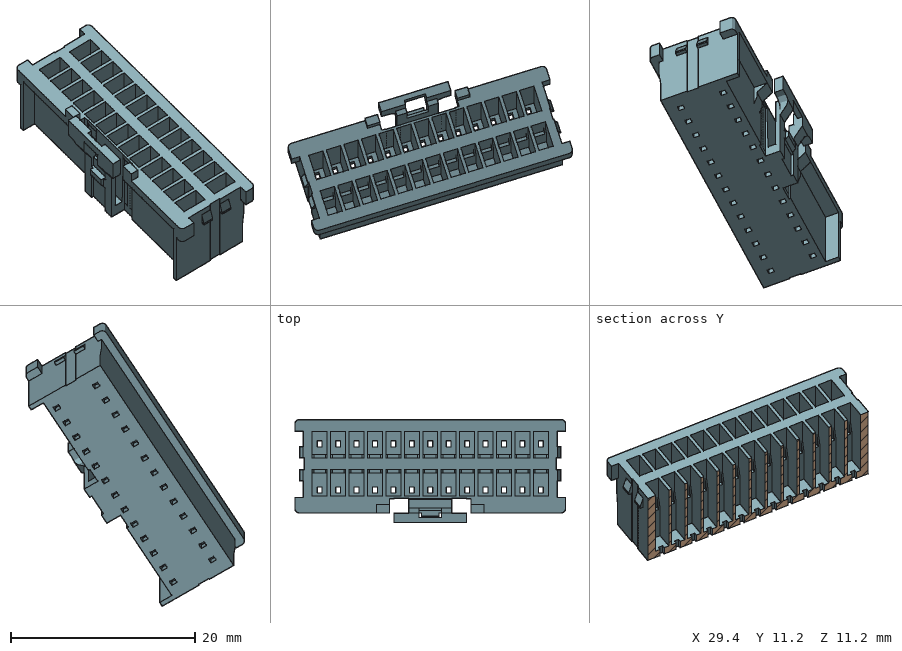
import cadquery as cq


BODY_HALF_WIDTH = 13.8
BODY_HEIGHT = 9.3
FLANGE_BACK = 10.15
FLANGE_HALF_WIDTH = 14.7
FLANGE_BOTTOM = 7.15
FLANGE_CORNER_RADIUS = 0.5
FRONT_EAR_DEPTH = 1.7
BACK_EAR_START = 8.85
BACK_FACE = 9.3
BACK_FACE_LOW = 9.12
BACK_STEP_TOP = 4.9
BACK_STEP_BOTTOM = 3.0
RECESS_HALF_WIDTH = 13.27
RECESS_TOP = 8.15
RECESS_WALL = 1.55
NOTCH_HALF_WIDTH = 4.4
NOTCH_WALL = 1.6
GROOVE_WALL = 1.75
PAD_FACE = 1.45
SIDE_GROOVE_DEPTH = 0.1
SIDE_GROOVE_START = 4.7
SIDE_GROOVE_END = 6.0
WEDGE_LENGTH = 1.2
WEDGE_PROJECTION = 0.38
WEDGE_BOTTOM = FLANGE_BOTTOM
WEDGE_CREST = 7.38
WEDGE_TOP = 8.5
POST_WIDTH = 1.43
POST_DEPTH = 0.9
POST_TOP = 10.45
GUSSET_FACE = 1.23
GUSSET_FACE_TOP = 7.07
GUSSET_FACE_BOTTOM = 6.2
GUSSET_BOTTOM = 5.21
ARM_HALF_WIDTH = 2.35
ARM_THICKNESS = 0.55
ARM_BASE_HEIGHT = 1.55
PLATE_HALF_WIDTH = 3.95
PLATE_FRONT = -1.05
PLATE_TOP = 11.15
WING_BOTTOM = 8.7
WING_FILLET = 1.0
SLOPE_TOP = 8.43
SLOPE_BOTTOM = 6.63
CHANNEL_HALF_WIDTH = 1.2
CHANNEL_DEPTH = 0.27
LOWER_CHANNEL_TOP = 3.81
UPPER_CHANNEL_BOTTOM = 5.2
WINDOW_TOP = 10.09
SLOT_FRONT = -0.47
CATCH_HALF_WIDTH = 0.95
CATCH_PROJECTION = 0.37
CATCH_FACE_BOTTOM = 4.35
COLUMNS = 13
COLUMN_PITCH = 2.0
CAVITY_WIDTH = 1.62
CAVITY_LENGTH = 2.85
CAVITY_FLOOR = 1.0
ROW_OUTER_EDGES = (1.85, 8.85)
LEDGE_DEPTH = 0.36
LEDGE_HEIGHT = 5.0
LEDGE_HALF_WIDTH = 0.62
RAMP_TOP = 6.5
PIN_HOLE_WIDTH = 0.5
PIN_HOLE_LENGTH = 0.65
PIN_HOLE_Y = (2.5, 7.5)


def box(x0, x1, y0, y1, z0, z1):
    """Box between two opposite corners."""
    return cq.Workplane("XY").box(x1 - x0, y1 - y0, z1 - z0, centered=False).translate((x0, y0, z0))


def centered_box(half_width, y0, y1, z0, z1):
    """Box symmetric about X = 0."""
    return box(-half_width, half_width, y0, y1, z0, z1)


def yz_prism(points, x0, x1):
    """(Y, Z) outline extruded from x0 to x1."""
    return cq.Workplane("YZ").polyline(points).close().extrude(x1 - x0).translate((x0, 0, 0))


def with_mirror(shape):
    """Shape together with its mirror image about X = 0."""
    return shape.union(shape.mirror("YZ"))


def make_body():
    """Housing block with its slightly stepped back face, flange and corner ears."""
    side_profile = [
        (0, 0),
        (BACK_FACE_LOW, 0),
        (BACK_FACE_LOW, BACK_STEP_BOTTOM),
        (BACK_FACE, BACK_STEP_TOP),
        (BACK_FACE, BODY_HEIGHT),
        (0, BODY_HEIGHT),
    ]
    body = yz_prism(side_profile, -BODY_HALF_WIDTH, BODY_HALF_WIDTH)
    front_flange = centered_box(FLANGE_HALF_WIDTH, 0, FRONT_EAR_DEPTH, FLANGE_BOTTOM, BODY_HEIGHT)
    front_flange = front_flange.edges("|Z and <Y").fillet(FLANGE_CORNER_RADIUS)
    back_flange = centered_box(FLANGE_HALF_WIDTH, BACK_EAR_START, FLANGE_BACK, FLANGE_BOTTOM, BODY_HEIGHT)
    back_flange = back_flange.edges("|Z and >Y").fillet(FLANGE_CORNER_RADIUS)
    return body.union(front_flange).union(back_flange)


def make_front_relief():
    """Material removed from the front wall: end-to-end recess, latch notch and groove behind the arm."""
    recess = centered_box(RECESS_HALF_WIDTH, 0, RECESS_WALL, 0, RECESS_TOP)
    notch = centered_box(NOTCH_HALF_WIDTH, 0, RECESS_WALL, RECESS_TOP, BODY_HEIGHT)
    notch_center = centered_box(PLATE_HALF_WIDTH, 0, NOTCH_WALL, RECESS_TOP, BODY_HEIGHT)
    groove = centered_box(PLATE_HALF_WIDTH, 0, GROOVE_WALL, 0, WING_BOTTOM)
    return recess.union(notch).union(notch_center).union(groove)


def make_pad():
    """Raised pad on the front wall behind the arm, leaning back above the arm base to the notch wall."""
    profile = [
        (GROOVE_WALL, 0),
        (PAD_FACE, 0),
        (PAD_FACE, ARM_BASE_HEIGHT),
        (NOTCH_WALL, BODY_HEIGHT),
        (GROOVE_WALL, BODY_HEIGHT),
    ]
    return yz_prism(profile, -ARM_HALF_WIDTH, ARM_HALF_WIDTH)


def make_side_grooves():
    """Shallow full-height groove in each side wall."""
    inner = BODY_HALF_WIDTH - SIDE_GROOVE_DEPTH
    return with_mirror(box(inner, BODY_HALF_WIDTH, SIDE_GROOVE_START, SIDE_GROOVE_END, 0, BODY_HEIGHT))


def make_side_wedges():
    """Two catch wedges on each side wall, one on each side of the groove."""
    crest = BODY_HALF_WIDTH + WEDGE_PROJECTION
    inside = BODY_HALF_WIDTH - SIDE_GROOVE_DEPTH
    profile = [
        (inside, WEDGE_BOTTOM),
        (crest, WEDGE_BOTTOM),
        (crest, WEDGE_CREST),
        (BODY_HALF_WIDTH, WEDGE_TOP),
        (inside, WEDGE_TOP),
    ]
    wedge = cq.Workplane("XZ").polyline(profile).close().extrude(-WEDGE_LENGTH)
    front_wedge = wedge.translate((0, SIDE_GROOVE_START - WEDGE_LENGTH, 0))
    back_wedge = wedge.translate((0, SIDE_GROOVE_END, 0))
    return with_mirror(front_wedge.union(back_wedge))


def make_posts():
    """Post on the flange and sloped gusset under it, on both sides of the latch."""
    x0 = NOTCH_HALF_WIDTH
    x1 = NOTCH_HALF_WIDTH + POST_WIDTH
    post = box(x0, x1, 0, POST_DEPTH, RECESS_TOP, POST_TOP)
    gusset_profile = [
        (0, RECESS_TOP),
        (GUSSET_FACE, GUSSET_FACE_TOP),
        (GUSSET_FACE, GUSSET_FACE_BOTTOM),
        (RECESS_WALL, GUSSET_BOTTOM),
        (RECESS_WALL, RECESS_TOP),
    ]
    return with_mirror(post.union(yz_prism(gusset_profile, x0, x1)))


def make_finger_plate():
    """Finger plate: wings with filleted roots and a center whose underside slopes back to the arm."""
    root_z = WING_BOTTOM - WING_FILLET
    root_x = ARM_HALF_WIDTH + WING_FILLET
    diagonal = WING_FILLET * 0.5 ** 0.5
    mid_x = root_x - diagonal
    mid_z = root_z + diagonal
    outline = (
        cq.Workplane("XZ")
        .moveTo(-ARM_HALF_WIDTH, SLOPE_BOTTOM)
        .lineTo(ARM_HALF_WIDTH, SLOPE_BOTTOM)
        .lineTo(ARM_HALF_WIDTH, root_z)
        .threePointArc((mid_x, mid_z), (root_x, WING_BOTTOM))
        .lineTo(PLATE_HALF_WIDTH, WING_BOTTOM)
        .lineTo(PLATE_HALF_WIDTH, PLATE_TOP)
        .lineTo(-PLATE_HALF_WIDTH, PLATE_TOP)
        .lineTo(-PLATE_HALF_WIDTH, WING_BOTTOM)
        .lineTo(-root_x, WING_BOTTOM)
        .threePointArc((-mid_x, mid_z), (-ARM_HALF_WIDTH, root_z))
        .close()
        .extrude(-PLATE_FRONT)
    )
    slope_profile = [
        (0, SLOPE_BOTTOM),
        (PLATE_FRONT, SLOPE_TOP),
        (PLATE_FRONT, PLATE_TOP),
        (0, PLATE_TOP),
    ]
    return outline.intersect(yz_prism(slope_profile, -PLATE_HALF_WIDTH, PLATE_HALF_WIDTH))


def make_catch():
    """Catch nose on the front of the arm, beveled underneath."""
    profile = [
        (0, LOWER_CHANNEL_TOP),
        (-CATCH_PROJECTION, CATCH_FACE_BOTTOM),
        (-CATCH_PROJECTION, UPPER_CHANNEL_BOTTOM),
        (CHANNEL_DEPTH, UPPER_CHANNEL_BOTTOM),
        (CHANNEL_DEPTH, LOWER_CHANNEL_TOP),
    ]
    return yz_prism(profile, -CATCH_HALF_WIDTH, CATCH_HALF_WIDTH)


def make_latch():
    """Latch arm hinged at the bottom of the front wall, with finger plate, window, channels and catch."""
    base = centered_box(ARM_HALF_WIDTH, 0, PAD_FACE, 0, ARM_BASE_HEIGHT)
    arm = centered_box(ARM_HALF_WIDTH, 0, ARM_THICKNESS, 0, BODY_HEIGHT)
    window = centered_box(CHANNEL_HALF_WIDTH, PLATE_FRONT, ARM_THICKNESS, SLOPE_BOTTOM, WINDOW_TOP)
    slot = centered_box(CHANNEL_HALF_WIDTH, SLOT_FRONT, ARM_THICKNESS, WINDOW_TOP, PLATE_TOP)
    upper_channel = centered_box(CHANNEL_HALF_WIDTH, 0, CHANNEL_DEPTH, UPPER_CHANNEL_BOTTOM, SLOPE_BOTTOM)
    lower_channel = centered_box(CHANNEL_HALF_WIDTH, 0, CHANNEL_DEPTH, 0, LOWER_CHANNEL_TOP)
    latch = base.union(arm).union(make_finger_plate())
    latch = latch.cut(window).cut(slot).cut(upper_channel).cut(lower_channel)
    return latch.union(make_catch())


def make_cavity(outer_y, direction, hole_y):
    """One cavity at X = 0, running from outer_y along direction (+1 or -1 in Y), with its pin hole.

    The inner end has a ledge flanked by two steep ramps.
    """
    half_width = CAVITY_WIDTH / 2
    inner_y = outer_y + direction * CAVITY_LENGTH
    ledge_y = inner_y - direction * LEDGE_DEPTH
    profile = [
        (outer_y, CAVITY_FLOOR),
        (ledge_y, CAVITY_FLOOR),
        (ledge_y, LEDGE_HEIGHT),
        (inner_y, RAMP_TOP),
        (inner_y, BODY_HEIGHT),
        (outer_y, BODY_HEIGHT),
    ]
    cavity = yz_prism(profile, -half_width, half_width)
    ledge_start, ledge_end = sorted((ledge_y, inner_y))
    ledge = centered_box(LEDGE_HALF_WIDTH, ledge_start, ledge_end, LEDGE_HEIGHT, BODY_HEIGHT)
    half_length = PIN_HOLE_LENGTH / 2
    pin_hole = centered_box(PIN_HOLE_WIDTH / 2, hole_y - half_length, hole_y + half_length, 0, CAVITY_FLOOR)
    return cavity.union(ledge).union(pin_hole)


def cut_cavities(housing):
    """Two rows of cavities, mirrored so that their ledges face the middle wall."""
    front_cavity = make_cavity(ROW_OUTER_EDGES[0], 1, PIN_HOLE_Y[0])
    back_cavity = make_cavity(ROW_OUTER_EDGES[1], -1, PIN_HOLE_Y[1])
    for column in range(COLUMNS):
        x = (column - (COLUMNS - 1) / 2) * COLUMN_PITCH
        housing = housing.cut(front_cavity.translate((x, 0, 0)))
        housing = housing.cut(back_cavity.translate((x, 0, 0)))
    return housing


housing = make_body().cut(make_front_relief()).cut(make_side_grooves())
housing = housing.union(make_pad()).union(make_side_wedges()).union(make_posts())
housing = cut_cavities(housing)
result = housing.union(make_latch())